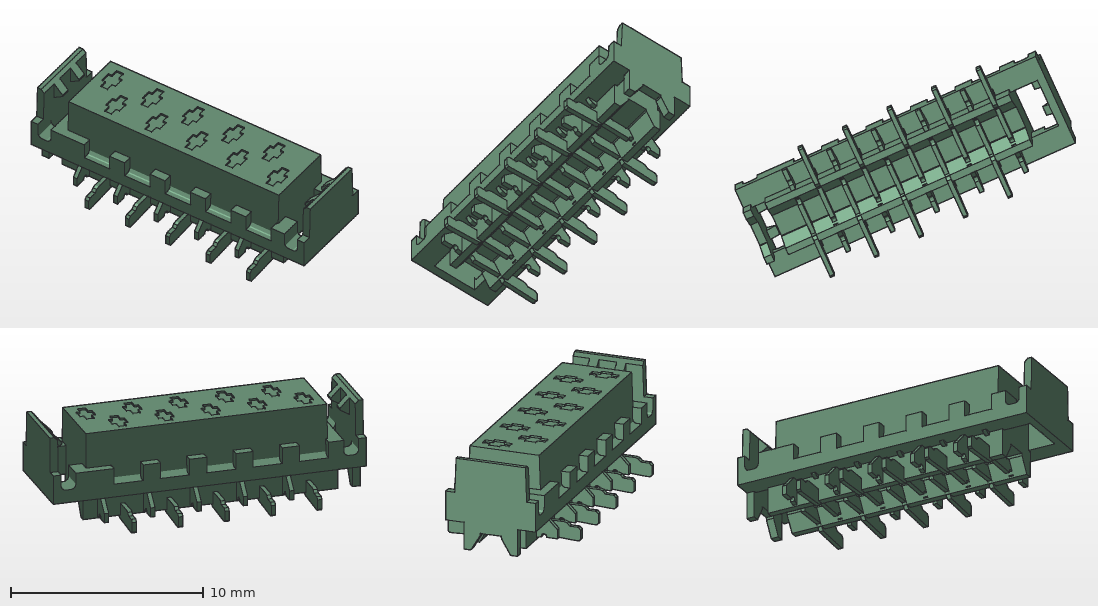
import cadquery as cq


length = 17.17
half_length = length / 2
overall_width = 6.92
tail_tip_y = overall_width / 2
top_z = 3.5
foot_z = -1.5
pin_bottom_z = -1.79

flange_width = 5.03
flange_height = 1.6
base_length = 14.7
block_length = 13.22
foot_width = 2.99
half_flange = flange_width / 2
foot_side = foot_width / 2

upper_top_half = 1.94
upper_bottom_half = 2.05

arch_top_z = -0.5
arch_shoulder_z = -0.64
arch_top_half = 0.58
arch_shoulder_half = 0.6
arch_bottom_half = 1.12

notch_floor_z = 0.72
notch_width = 1.6
notch_ledge = 0.2
notch_arc_top_z = 0.9
notch_radius = 0.24
slot_radius = 0.27

plate_thickness = 0.43
plate_chamfer = 0.19
arm_window_width = 2.65
hook_width = 0.52
hook_reach = 0.53
hook_spacing = 1.51
hook_tip_flat = 0.09
hook_height = 0.95

pitch = 1.27
contact_count = 10
row_count = contact_count // 2
row_pitch = 2 * pitch
first_contact_x = -pitch * (contact_count - 1) / 2
row_y = 0.75
pin_thickness = 0.24
tail_heel_y = 1.32
tail_heel_z = -1.68
tail_tip_bottom_z = -1.7
tail_tip_top_z = -1.17
tail_top_z = -1.03
tail_pad_start_y = 3.1
tail_pad_end_y = 3.37
tail_top_start_y = 2.85
tail_top_end_y = 3.33
neck_z = -0.82
neck_end_y = 2.54
neck_step_y = 2.71
neck_step_z = -0.88
bridge_top_z = -0.7
bridge_end_z = -0.65
bridge_bottom_z = -1.4
bridge_heel_y = 1.03
bridge_heel_z = -1.37
bridge_flat_half = 0.41
bridge_end_half = 0.5
claw_top_y = -1.87
claw_bend_y = -1.95
claw_bend_z = -0.1
claw_tip_y = -2.66
claw_tip_top_z = -0.8
claw_bottom_z = -1.32
claw_relief_y = -1.9
claw_relief_top_z = -1.13
claw_relief_half = 0.14
bridge_relief_y = -0.84
bridge_relief_top_z = -1.17
bridge_relief_half = 0.19
far_shoulder_reach = 0.55
far_shoulder_depth = 0.31
near_shoulder_reach = 0.38
near_shoulder_depth = 0.17

cross_long = 1.5
cross_stem_width = 0.43
cross_bar_length = 0.85
cross_bar_width = 0.62
cross_depth = 0.1

plate_inner_x = half_length - plate_thickness
slot_inner_x = base_length / 2
tail_row_x = [first_contact_x + i * row_pitch for i in range(row_count)]


def box(x_min, x_max, width, z_min, z_max):
    """Box centred on Y."""
    center = ((x_min + x_max) / 2, 0, (z_min + z_max) / 2)
    return cq.Workplane("XY").box(x_max - x_min, width, z_max - z_min).translate(center)


def half_turn(shape):
    """The same shape turned by half a turn about Z."""
    return shape.rotate((0, 0, 0), (0, 0, 1), 180)


def upper_section(x_min, x_max):
    """Tapered prism from the notch floor to the top."""
    return (
        cq.Workplane("YZ", origin=(x_min, 0, 0))
        .moveTo(-upper_bottom_half, notch_floor_z)
        .lineTo(upper_bottom_half, notch_floor_z)
        .lineTo(upper_top_half, top_z)
        .lineTo(-upper_top_half, top_z)
        .close()
        .extrude(x_max - x_min)
    )


def upper_half_at(z):
    """Half width of the tapered upper section at height z."""
    taper = (upper_bottom_half - upper_top_half) / (top_z - notch_floor_z)
    return upper_top_half + taper * (top_z - z)


def notch(center_x):
    """Flange notch on the +Y side: a flat ledge, a hollow round and a back flush with the block."""
    back_top_y = upper_half_at(flange_height)
    back_bottom_y = upper_half_at(notch_arc_top_z)
    return (
        cq.Workplane("YZ", origin=(center_x - notch_width / 2, 0, 0))
        .moveTo(half_flange, notch_floor_z)
        .lineTo(half_flange - notch_ledge, notch_floor_z)
        .radiusArc((back_bottom_y, notch_arc_top_z), notch_radius)
        .lineTo(back_top_y, flange_height)
        .lineTo(half_flange, flange_height)
        .close()
        .extrude(notch_width)
    )


def housing():
    base = box(-base_length / 2, base_length / 2, flange_width, 0, flange_height)
    for x in tail_row_x:
        base = base.cut(notch(x)).cut(half_turn(notch(x)))
    block = upper_section(-block_length / 2, block_length / 2)
    foot = box(-base_length / 2, block_length / 2, foot_width, foot_z, 0)
    return base.union(block).union(foot)


def hook(center_y):
    """Pointed catch on the inner face of the latch plate at the -X end."""
    root_x = -plate_inner_x
    root_z = top_z - plate_chamfer
    tip_z = root_z - hook_reach
    return (
        cq.Workplane("XZ", origin=(0, center_y + hook_width / 2, 0))
        .moveTo(root_x, root_z)
        .lineTo(root_x + hook_reach, tip_z)
        .lineTo(root_x + hook_reach, tip_z - hook_tip_flat)
        .lineTo(root_x, root_z - hook_height)
        .close()
        .extrude(hook_width)
    )


def latch_plate():
    """Latch plate at the -X end, without its leg, with its hooks and the two arms that hold it."""
    upper = upper_section(-half_length, -plate_inner_x).faces(">Z").edges(">X").chamfer(plate_chamfer)
    middle = box(-half_length, -plate_inner_x, flange_width, 0, flange_height)
    arms = box(-plate_inner_x, -slot_inner_x, flange_width, 0, flange_height)
    slot = (
        box(-plate_inner_x, -slot_inner_x, flange_width, notch_floor_z, top_z)
        .edges("|Y and <Z")
        .fillet(slot_radius)
    )
    window = box(-plate_inner_x, -slot_inner_x, arm_window_width, 0, flange_height)
    arms = arms.cut(slot).cut(window)

    plate = upper.union(middle).union(arms)
    for side in (-1, 1):
        plate = plate.union(hook(side * hook_spacing / 2))
    return plate


def plate_leg():
    """Leg under the latch plate at the -X end."""
    return box(-half_length, -plate_inner_x, foot_width, foot_z, 0)


def end_window():
    """Window in the base at the +X end, from the block to the latch plate slot."""
    return box(block_length / 2, slot_inner_x, arm_window_width, 0, flange_height)


def arch():
    """Passage along the whole length between the feet."""
    return (
        cq.Workplane("YZ", origin=(-half_length, 0, 0))
        .moveTo(-arch_bottom_half, foot_z)
        .lineTo(-arch_shoulder_half, arch_shoulder_z)
        .lineTo(-arch_top_half, arch_top_z)
        .lineTo(arch_top_half, arch_top_z)
        .lineTo(arch_shoulder_half, arch_shoulder_z)
        .lineTo(arch_bottom_half, foot_z)
        .close()
        .extrude(length)
    )


def cross_opening(center_x, center_y):
    """Shallow cross-shaped recess in the top face."""
    stem = cq.Workplane("XY").box(cross_stem_width, cross_long, 2 * cross_depth)
    bar = cq.Workplane("XY").box(cross_bar_length, cross_bar_width, 2 * cross_depth)
    return stem.union(bar).translate((center_x, center_y, top_z))


def contact(center_x, shoulder_reach, shoulder_depth):
    """Contact with its tail towards +Y, its claw towards -Y and a shoulder under the flange."""
    start = (center_x - pin_thickness / 2, 0, 0)
    blade = (
        cq.Workplane("YZ", origin=start)
        .moveTo(tail_heel_y, tail_heel_z)
        .lineTo(tail_pad_start_y, pin_bottom_z)
        .lineTo(tail_pad_end_y, pin_bottom_z)
        .lineTo(tail_tip_y, tail_tip_bottom_z)
        .lineTo(tail_tip_y, tail_tip_top_z)
        .lineTo(tail_top_end_y, tail_top_z)
        .lineTo(tail_top_start_y, tail_top_z)
        .lineTo(neck_step_y, neck_step_z)
        .lineTo(neck_end_y, neck_z)
        .lineTo(arch_bottom_half, neck_z)
        .lineTo(arch_shoulder_half, bridge_end_z)
        .lineTo(bridge_end_half, bridge_end_z)
        .lineTo(bridge_flat_half, bridge_top_z)
        .lineTo(-bridge_flat_half, bridge_top_z)
        .lineTo(-bridge_end_half, bridge_end_z)
        .lineTo(-arch_bottom_half, bridge_end_z)
        .lineTo(-arch_bottom_half, 0)
        .lineTo(claw_top_y, 0)
        .lineTo(claw_bend_y, claw_bend_z)
        .lineTo(claw_tip_y, claw_tip_top_z)
        .lineTo(claw_tip_y, claw_bottom_z)
        .lineTo(claw_relief_y - claw_relief_half, claw_bottom_z)
        .threePointArc(
            (claw_relief_y, claw_relief_top_z), (claw_relief_y + claw_relief_half, claw_bottom_z)
        )
        .lineTo(-foot_side, bridge_bottom_z)
        .lineTo(bridge_relief_y - bridge_relief_half, bridge_bottom_z)
        .threePointArc(
            (bridge_relief_y, bridge_relief_top_z),
            (bridge_relief_y + bridge_relief_half, bridge_bottom_z),
        )
        .lineTo(bridge_heel_y, bridge_heel_z)
        .close()
        .extrude(pin_thickness)
    )
    shoulder_bottom_z = -shoulder_depth
    shoulder_tip_y = foot_side + shoulder_reach
    arc_middle = (foot_side + 0.5 * shoulder_reach, 0.8 * shoulder_bottom_z)
    shoulder = (
        cq.Workplane("YZ", origin=start)
        .moveTo(arch_bottom_half, 0)
        .lineTo(shoulder_tip_y, 0)
        .threePointArc(arc_middle, (foot_side, shoulder_bottom_z))
        .lineTo(arch_bottom_half, shoulder_bottom_z)
        .close()
        .extrude(pin_thickness)
    )
    return blade.union(shoulder)


plate = latch_plate()
result = housing().cut(end_window()).union(plate).union(half_turn(plate))
result = result.union(plate_leg()).cut(arch())
for x in tail_row_x:
    opening = cross_opening(x, row_y)
    result = result.cut(opening).cut(half_turn(opening))
    far_contact = contact(x, far_shoulder_reach, far_shoulder_depth)
    near_contact = contact(x, near_shoulder_reach, near_shoulder_depth)
    result = result.union(far_contact).union(half_turn(near_contact))